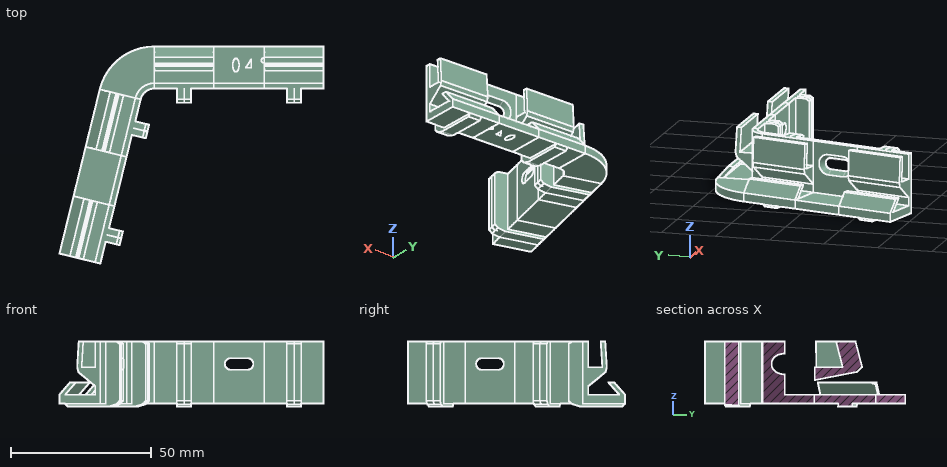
import cadquery as cq
import math

OVERALL_LENGTH = 93.8
CLIP_LENGTH = 21.0
PLATE_LENGTH = 18.0
BEND_ANGLE = 76.2
CHANNEL_WIDTH = 15.0
HEIGHT = 22.0
FLOOR = 3.2
WALL = 2.0

LIP_TOP = 7.5
LIP_LEAN = 3.8
LIP_WIDTH = 2.2

LEDGE_HEIGHT = 12.9
TINE_WIDTH = 1.7
TINE_HEEL = 6.5
TINE_LEAN = 0.6
HEEL_SETBACK = 0.5
HEEL_HEIGHT = 11.2
BRACE_ROOT = 6.2

RIB_WIDTH = 5.1
RIB_REACH = 5.1
RIB_TOP_DROP = 0.8
RIB_TOP_RUN = 1.2
FOOT_DEPTH = 1.0
FOOT_FLAT_END = 16.0
TIP_CHAMFER = 1.2
TIP_RAMP_END = -0.2
KERF = 0.02

SLOT_LENGTH = 10.0
SLOT_WIDTH = 4.0
SLOT_HEIGHT = 14.1
COUNTERSINK = 1.7

OVAL_LENGTH = 4.8
OVAL_WIDTH = 2.25
OVAL_OFFSET = 7.9
OVAL_ACROSS = 6.7
TRIANGLE_WIDTH = 2.0
TRIANGLE_LENGTH = 3.0
TRIANGLE_OFFSET = 13.3
TRIANGLE_ACROSS = 7.6
DISC_RADIUS = 0.8
DISC_INSET = 0.3
DISC_ACROSS = 5.0

PLATE_START = CLIP_LENGTH
FAR_CLIP_START = CLIP_LENGTH + PLATE_LENGTH
ARM_LENGTH = FAR_CLIP_START + CLIP_LENGTH
WALL_INSIDE = CHANNEL_WIDTH - WALL
RIB_TIP = CHANNEL_WIDTH + RIB_REACH

BEND = math.radians(BEND_ANGLE)
BEND_OUTER_RADIUS = (OVERALL_LENGTH - ARM_LENGTH * (1 + math.cos(BEND))) / math.sin(BEND)


def across(distance):
    """Y of a point at a distance from the free floor edge."""
    return BEND_OUTER_RADIUS - distance


def section(points, start, length):
    """Prism along X from (distance across, height) points."""
    outline = [(across(distance), height) for distance, height in points]
    return cq.Workplane("YZ").workplane(offset=start).polyline(outline).close().extrude(length)


CHANNEL_POINTS = [
    (0, 0),
    (CHANNEL_WIDTH, 0),
    (CHANNEL_WIDTH, HEIGHT),
    (WALL_INSIDE, HEIGHT),
    (WALL_INSIDE, FLOOR),
    (0, FLOOR),
]
CLIP_POINTS = [
    (0, 0),
    (CHANNEL_WIDTH, 0),
    (CHANNEL_WIDTH, HEIGHT),
    (WALL_INSIDE, HEIGHT),
    (WALL_INSIDE, LEDGE_HEIGHT),
    (TINE_HEEL + TINE_WIDTH, LEDGE_HEIGHT),
    (TINE_HEEL + TINE_LEAN + TINE_WIDTH, HEIGHT),
    (TINE_HEEL + TINE_LEAN, HEIGHT),
    (TINE_HEEL, LEDGE_HEIGHT),
    (TINE_HEEL + HEEL_SETBACK, HEEL_HEIGHT),
    (WALL_INSIDE, BRACE_ROOT),
    (WALL_INSIDE, FLOOR),
    (LIP_WIDTH, FLOOR),
    (LIP_LEAN + LIP_WIDTH, LIP_TOP),
    (LIP_LEAN, LIP_TOP),
    (0, FLOOR),
]
RIB_POINTS = [
    (0, 0),
    (FOOT_DEPTH, -FOOT_DEPTH),
    (FOOT_FLAT_END, -FOOT_DEPTH),
    (RIB_TIP - TIP_CHAMFER, TIP_RAMP_END),
    (RIB_TIP, TIP_RAMP_END + TIP_CHAMFER),
    (RIB_TIP, HEIGHT - RIB_TOP_DROP),
    (RIB_TIP - RIB_TOP_RUN, HEIGHT),
    (WALL_INSIDE, HEIGHT),
    (WALL_INSIDE, 0),
]


def corner():
    """Plain channel swept around the bend, from the arm to the leg."""
    outline = [(across(distance), height) for distance, height in CHANNEL_POINTS]
    profile = cq.Workplane("YZ").polyline(outline).close()
    return profile.revolve(BEND_ANGLE, (0, 0, 0), (0, 1, 0))


def clip(start):
    """Channel with lip, hook and a slit rib, starting at a distance along the arm."""
    middle = start + CLIP_LENGTH / 2
    body = section(CLIP_POINTS, start, CLIP_LENGTH)
    rib = section(RIB_POINTS, middle - RIB_WIDTH / 2, RIB_WIDTH)
    kerf = (
        cq.Workplane("XY", origin=(middle, across(RIB_TIP), 0))
        .box(KERF, RIB_REACH, HEIGHT, centered=(True, False, False))
    )
    return body.union(rib).cut(kerf)


def plate():
    """Plain channel with a countersunk slot through its wall."""
    middle = PLATE_START + PLATE_LENGTH / 2
    slot = (
        cq.Workplane("XZ", origin=(middle, across(WALL_INSIDE), SLOT_HEIGHT))
        .slot2D(SLOT_LENGTH + 2 * COUNTERSINK, SLOT_WIDTH + 2 * COUNTERSINK)
        .extrude(WALL, taper=math.degrees(math.atan2(COUNTERSINK, WALL)))
    )
    return section(CHANNEL_POINTS, PLATE_START, PLATE_LENGTH).cut(slot)


def floor_insert_sketch(offset, distance):
    """Plane under the floor, centred on a point of the arm plate."""
    return cq.Workplane("XY", origin=(PLATE_START + offset, across(distance), 0))


def oval_insert():
    """Elliptical plug, long across the channel."""
    sketch = floor_insert_sketch(OVAL_OFFSET, OVAL_ACROSS)
    return sketch.ellipse(OVAL_WIDTH / 2, OVAL_LENGTH / 2).extrude(FLOOR)


def triangle_insert():
    """Right-angled triangular plug."""
    corners = [(0, 0), (0, TRIANGLE_LENGTH), (-TRIANGLE_WIDTH, 0)]
    sketch = floor_insert_sketch(TRIANGLE_OFFSET, TRIANGLE_ACROSS)
    return sketch.polyline(corners).close().extrude(FLOOR)


def disc_insert():
    """Disc cut off flush with the end of the plate."""
    half_chord = math.sqrt(DISC_RADIUS**2 - DISC_INSET**2)
    return (
        floor_insert_sketch(PLATE_LENGTH - DISC_INSET, DISC_ACROSS)
        .moveTo(DISC_INSET, half_chord)
        .threePointArc((-DISC_RADIUS, 0), (DISC_INSET, -half_chord))
        .close()
        .extrude(FLOOR)
    )


def on_leg(body):
    """Mirror a body of the arm onto the leg on the other side of the bend."""
    return body.mirror("YZ").rotate((0, 0, 0), (0, 0, 1), BEND_ANGLE)


inserts = [oval_insert(), triangle_insert(), disc_insert()]
arm_plate = plate()
for insert in inserts:
    arm_plate = arm_plate.cut(insert)
leg_plate = on_leg(plate())

clips = []
for clip_start in (0, FAR_CLIP_START):
    clips.append(clip(clip_start))
    clips.append(on_leg(clip(clip_start)))

bodies = [corner(), arm_plate, leg_plate, *clips, *inserts]
result = cq.Compound.makeCompound([body.val() for body in bodies])